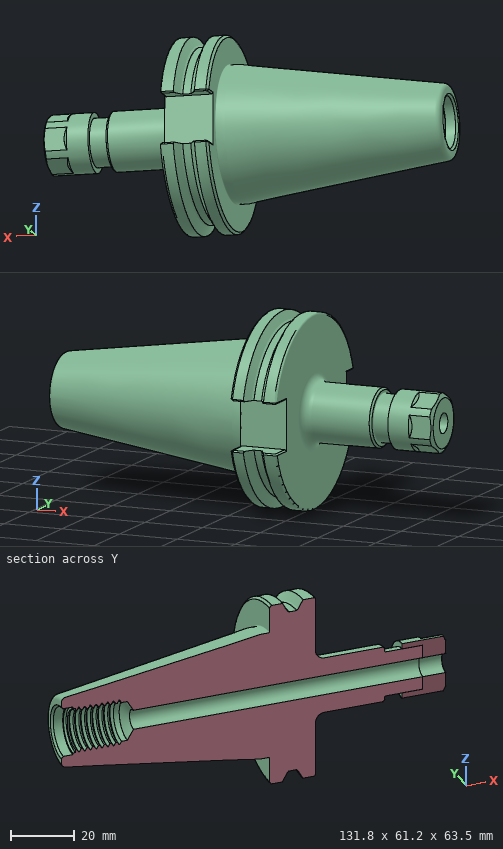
import cadquery as cq
import math


GAUGE_DIA = 44.4
GAUGE_X = 68.2
TAPER_RATIO = 7 / 24
SMALL_END_DIA = GAUGE_DIA - GAUGE_X * TAPER_RATIO
SMALL_END_ROUNDING = 1.8
ROOT_FILLET = 0.3

FLANGE_DIA = 63.5
FLANGE_START = 71.3
FLANGE_END = 87.2
FLANGE_CHAMFER = 0.8
FLANGE_ROUNDING = 0.8
FLANGE_MIDDLE = (FLANGE_START + FLANGE_END) / 2
GROOVE_X = 79.3
GROOVE_RIM_WIDTH = 7.0
GROOVE_NECK_DIA = 57.7
GROOVE_FLANK_SLOPE = math.tan(math.radians(30))
GROOVE_NECK_WIDTH = GROOVE_RIM_WIDTH - (FLANGE_DIA - GROOVE_NECK_DIA) * GROOVE_FLANK_SLOPE
GROOVE_FLOOR_DIA = 56.7
GROOVE_FLOOR_WIDTH = 2.6
SLOT_WIDTH = 16.1
SLOT_CHAMFER = 0.5
FRONT_SLOT_FLOOR = 22.5
BACK_SLOT_FLOOR = 24.8

BODY_DIA = 19.5
BODY_END = 110.9
BODY_CHAMFER = 0.7
BODY_FILLET = 3.0
NECK_DIA = 15.8

THROUGH_DIA = 6.6
MOUTH_DIA = 18.2
PILOT_DIA = 16.7
PILOT_DEPTH = 4.0
STEP_DIA = 15.5
STEP_DEPTH = 4.9
MOUTH_CHAMFER = (MOUTH_DIA - PILOT_DIA) / 2
THREAD_MINOR_DIA = 13.6
THREAD_MAJOR_DIA = 15.8
THREAD_PITCH = 2.0
THREAD_COUNT = 8
THREAD_CREST = 0.5
THREAD_BORE_DEPTH = STEP_DEPTH + (THREAD_COUNT + 1) * THREAD_PITCH
DRILL_HALF_ANGLE = 59

NUT_DIA = BODY_DIA
NUT_START = 116.7
NUT_END = 131.8
FLATS_START = 123.8
FLATS_ACROSS = 18.0
FLAT_COUNT = 6
NUT_SHOULDER_DEPTH = (NUT_DIA - FLATS_ACROSS) / 2
NUT_SHOULDER_LENGTH = 0.9
NUT_END_CHAMFER_LENGTH = 0.8
NUT_END_CHAMFER_DEPTH = 1.6
NECK_END = FLATS_START


def revolve_about_x(points):
    """Turn a closed outline of (x, radius) points about the X axis."""
    return cq.Workplane("XY").polyline(points).close().revolve(360, (0, 0, 0), (1, 0, 0))


def cylinder_along_x(diameter, start, end):
    return cq.Workplane("YZ", origin=(start, 0, 0)).circle(diameter / 2).extrude(end - start)


def make_root_fillet(diameter, face_x, side, radius):
    """Concave ring joining a cylinder to the face at face_x, on its +X (side 1) or -X (side -1) side."""
    end_x = face_x + side * radius
    return (
        cq.Workplane("XY")
        .moveTo(face_x, 0)
        .lineTo(face_x, diameter / 2 + radius)
        .radiusArc((end_x, diameter / 2), -side * radius)
        .lineTo(end_x, 0)
        .close()
        .revolve(360, (0, 0, 0), (1, 0, 0))
    )


def make_shank():
    shank = revolve_about_x([
        (0, 0),
        (0, SMALL_END_DIA / 2),
        (GAUGE_X, GAUGE_DIA / 2),
        (FLANGE_START, GAUGE_DIA / 2),
        (FLANGE_START, 0),
    ])
    shank = shank.faces("<X").edges().fillet(SMALL_END_ROUNDING)
    return shank.union(make_root_fillet(GAUGE_DIA, FLANGE_START, -1, ROOT_FILLET))


def make_slot(side, floor):
    """Slot cutter on the +Y (side 1) or -Y (side -1) side of the flange."""
    depth = FLANGE_DIA / 2
    length = FLANGE_END - FLANGE_START
    return cq.Workplane("XY").box(length, depth, SLOT_WIDTH).translate(
        (FLANGE_MIDDLE, side * (floor + depth / 2), 0)
    )


def make_groove():
    rim = FLANGE_DIA / 2
    return revolve_about_x([
        (GROOVE_X - GROOVE_RIM_WIDTH / 2, rim),
        (GROOVE_X - GROOVE_NECK_WIDTH / 2, GROOVE_NECK_DIA / 2),
        (GROOVE_X - GROOVE_FLOOR_WIDTH / 2, GROOVE_FLOOR_DIA / 2),
        (GROOVE_X + GROOVE_FLOOR_WIDTH / 2, GROOVE_FLOOR_DIA / 2),
        (GROOVE_X + GROOVE_NECK_WIDTH / 2, GROOVE_NECK_DIA / 2),
        (GROOVE_X + GROOVE_RIM_WIDTH / 2, rim),
    ])


def slot_wall_edges(flange):
    """Outer edges of the slot walls: all but those on the slot floors."""
    walls = flange.faces("|Z")
    floors = flange.faces("|Y").edges().vals()
    return [e for e in walls.edges().vals() if not any(e.isSame(f) for f in floors)]


def make_flange():
    flange = cylinder_along_x(FLANGE_DIA, FLANGE_START, FLANGE_END)
    flange = flange.faces("<X").edges().chamfer(FLANGE_CHAMFER)
    flange = flange.faces(">X").edges().fillet(FLANGE_ROUNDING)
    flange = flange.cut(make_slot(-1, FRONT_SLOT_FLOOR)).cut(make_slot(1, BACK_SLOT_FLOOR))
    flange = flange.newObject(slot_wall_edges(flange)).chamfer(SLOT_CHAMFER)
    return flange.cut(make_groove())


def make_body():
    body = cylinder_along_x(BODY_DIA, FLANGE_END, BODY_END).faces(">X").edges().chamfer(BODY_CHAMFER)
    return body.union(make_root_fillet(BODY_DIA, FLANGE_END, 1, BODY_FILLET))


def make_thread_groove(start):
    """One V-shaped ring cut from the minor to the major thread diameter."""
    end = start + THREAD_PITCH - THREAD_CREST
    return revolve_about_x([
        (start, 0),
        (start, THREAD_MINOR_DIA / 2),
        ((start + end) / 2, THREAD_MAJOR_DIA / 2),
        (end, THREAD_MINOR_DIA / 2),
        (end, 0),
    ])


def make_bore():
    tip_length = (THREAD_MINOR_DIA - THROUGH_DIA) / 2 / math.tan(math.radians(DRILL_HALF_ANGLE))
    bore = revolve_about_x([
        (0, 0),
        (0, MOUTH_DIA / 2),
        (MOUTH_CHAMFER, PILOT_DIA / 2),
        (PILOT_DEPTH, PILOT_DIA / 2),
        (PILOT_DEPTH, STEP_DIA / 2),
        (STEP_DEPTH, STEP_DIA / 2),
        (STEP_DEPTH, THREAD_MINOR_DIA / 2),
        (THREAD_BORE_DEPTH, THREAD_MINOR_DIA / 2),
        (THREAD_BORE_DEPTH + tip_length, THROUGH_DIA / 2),
        (NUT_END, THROUGH_DIA / 2),
        (NUT_END, 0),
    ])
    for i in range(THREAD_COUNT):
        bore = bore.union(make_thread_groove(STEP_DEPTH + THREAD_CREST + i * THREAD_PITCH))
    return bore


def make_neck():
    neck = cylinder_along_x(NECK_DIA, BODY_END, NECK_END)
    return neck.union(make_root_fillet(NECK_DIA, BODY_END, 1, ROOT_FILLET))


def make_holder():
    outside = make_shank().union(make_flange()).union(make_body()).union(make_neck())
    return outside.cut(make_bore())


def make_nut():
    collar = revolve_about_x([
        (NUT_START, 0),
        (NUT_START, NUT_DIA / 2),
        (FLATS_START, NUT_DIA / 2),
        (FLATS_START + NUT_SHOULDER_LENGTH, NUT_DIA / 2 - NUT_SHOULDER_DEPTH),
        (FLATS_START + NUT_SHOULDER_LENGTH, 0),
    ])
    corner_dia = FLATS_ACROSS / math.cos(math.pi / FLAT_COUNT)
    hexagon = (
        cq.Workplane("YZ", origin=(FLATS_START, 0, 0))
        .transformed(rotate=(0, 0, 180 / FLAT_COUNT))
        .polygon(FLAT_COUNT, corner_dia)
        .extrude(NUT_END - FLATS_START)
    )
    turned_end = revolve_about_x([
        (FLATS_START, 0),
        (FLATS_START, NUT_DIA / 2),
        (NUT_END - NUT_END_CHAMFER_LENGTH, NUT_DIA / 2),
        (NUT_END, NUT_DIA / 2 - NUT_END_CHAMFER_DEPTH),
        (NUT_END, 0),
    ])
    recess = cylinder_along_x(NECK_DIA, NUT_START, NECK_END)
    hole = cylinder_along_x(THROUGH_DIA, NUT_START, NUT_END)
    return collar.union(hexagon.intersect(turned_end)).cut(recess).cut(hole)


holder = make_holder()
nut = make_nut()

result = cq.Compound.makeCompound([holder.val(), nut.val()])